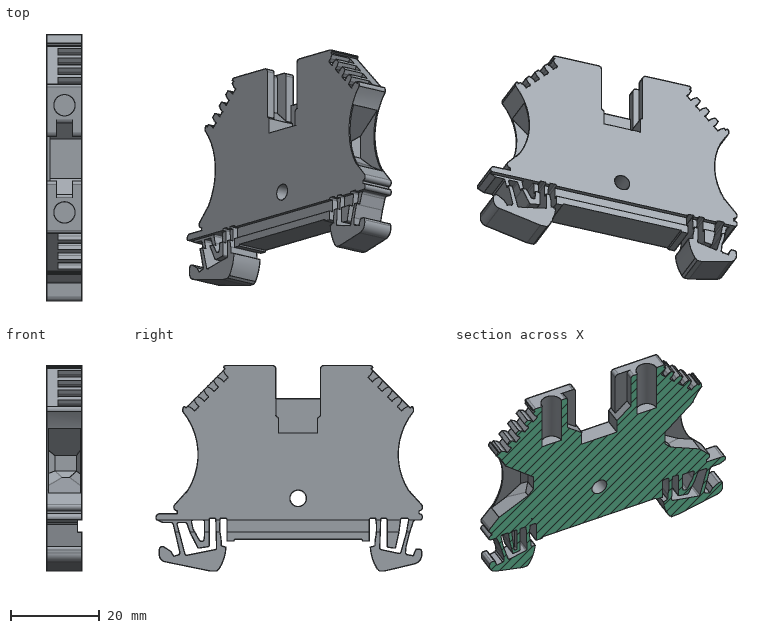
import cadquery as cq

thickness = 7.9
height = 46.25
fit = 0.5

slot_half = 5.0
slot_sill = 38.8
slot_edge_radius = 0.8
slope_top = (16.4, 45.5)
slope_bottom = (25.25, 36.65)
bay_top = (25.95, 35.85)
bay_middle = (22.53, 26.4)
bay_lower = (24.8, 18.2)
bay_bottom = (27.75, 14.95)
groove_y = 27.2
ledge_z = 12.9
foot_root_z = 11.85
base_half = 16.0
base_corner_radius = 0.35
base_z = 6.72
base_relief_z = 7.1
base_relief_half = 14.3
base_relief_run = 0.2

well_wall = 0.75
well_half = 4.4
well_floor = 31.0
well_ramp_z = 34.4

notch_x = (2.19, 5.84)
notch_end = 8.0
notch_edge_radius = 0.73
ramp_rise = 0.82

screw_diameter = 4.8
screw_x = 4.0
screw_y = 12.05
screw_depth = 12.0
cross_hole_diameter = 3.65
cross_hole_z = 16.35

grip_count = 4
grip_x = 2.53
grip_width = 2.0
grip_flare = 0.3
grip_flare_depth = 1.0
grip_depth = 1.85
grip_pitch = 3.1
grip_first = 0.6

funnel_x = (0.4, 7.55)
funnel_back_x = (1.88, 6.7)
funnel_back_y = 16.7
funnel_taper_y = 18.05
funnel_mouth_y = 29.0
funnel_roof_z = 25.95
funnel_roof_slope = 0.87
funnel_sill_z = 22.5
funnel_floor_z = 21.05
funnel_floor_slope = 0.48
funnel_corner_x = (3.46, 5.16)
funnel_corner_y = 21.8

side_recess_x = 6.97
side_recess_z = (8.76, 11.45)
channel_radius = 0.3
blind_pocket_depth = 5.0
pocket_radius = 0.2
bar_y = 28.0
lever_tip_y = 32.0
lever_z = 10.87
toe_y = 31.25


def prism(points, x_start, x_end, radius=0.0):
    """Extrude a (Y, Z) polygon from x_start to x_end, rounding its corners."""
    solid = cq.Workplane("YZ", origin=(x_start, 0, 0)).polyline(points).close().extrude(x_end - x_start)
    if radius:
        solid = solid.edges("|X").fillet(radius)
    return solid


def box(x_range, y_range, z_range):
    size = [high - low for low, high in (x_range, y_range, z_range)]
    corner = (x_range[0], y_range[0], z_range[0])
    return cq.Workplane("XY").box(*size, centered=False).translate(corner)


def both_ends(solid):
    return solid.union(solid.mirror("XZ"))


def make_housing():
    half = (
        cq.Workplane("YZ")
        .moveTo(0, slot_sill)
        .lineTo(slot_half, slot_sill)
        .lineTo(slot_half, height - slot_edge_radius)
        .radiusArc((slot_half + slot_edge_radius, height), slot_edge_radius)
        .lineTo(16.15, height)
        .threePointArc((16.45, 46.185), (16.7, 46.0))
        .lineTo(16.8, 45.75)
        .lineTo(*slope_top)
        .lineTo(*slope_bottom)
        .lineTo(25.45, 37.0)
        .lineTo(25.65, 37.0)
        .threePointArc((25.95, 36.5), bay_top)
        .threePointArc(bay_middle, bay_lower)
        .lineTo(*bay_bottom)
        .threePointArc((27.97, 14.25), (27.5, 13.6))
        .lineTo(groove_y, 13.5)
        .lineTo(groove_y, foot_root_z)
        .lineTo(base_half + base_corner_radius, foot_root_z)
        .radiusArc((base_half, foot_root_z - base_corner_radius), -base_corner_radius)
        .lineTo(base_half, base_z)
        .lineTo(base_relief_half + base_relief_run, base_z)
        .lineTo(base_relief_half, base_relief_z)
        .lineTo(0, base_relief_z)
        .close()
        .extrude(thickness)
    )
    return both_ends(half)


def make_front_foot():
    """The foot and release lever at the -Y end."""
    foot = (
        cq.Workplane("YZ")
        .moveTo(-17.5, ledge_z)
        .lineTo(-31.1, ledge_z)
        .threePointArc((-lever_tip_y, 12.0), (-31.88, 11.55))
        .lineTo(-30.4, lever_z)
        .lineTo(-28.4, lever_z)
        .lineTo(-28.1, 10.5)
        .lineTo(-26.6, 4.1)
        .lineTo(-26.8, 3.7)
        .lineTo(-27.95, 3.35)
        .lineTo(-28.7, 4.5)
        .lineTo(-30.2, 5.45)
        .threePointArc((-31.0, 5.35), (-toe_y, 4.7))
        .lineTo(-toe_y, 4.0)
        .threePointArc((-30.95, 2.75), (-29.9, 2.05))
        .lineTo(-19.9, 0)
        .lineTo(-18.3, 0)
        .lineTo(-17.75, 0.5)
        .threePointArc((-16.65, 2.9), (-16.2, 5.35))
        .lineTo(-17.25, 5.7)
        .lineTo(-17.3, 7.1)
        .threePointArc((-17.62, 9.6), (-17.5, foot_root_z))
        .close()
        .extrude(thickness)
    )
    channel = [
        (-18.55, foot_root_z), (-18.37, 4.9), (-25.35, 3.5), (-27.3, lever_z),
        (-25.1, lever_z), (-24.25, 8.5), (-22.5, 5.1), (-19.98, 5.5), (-19.98, foot_root_z),
    ]
    window = [(-21.07, 11.45), (-24.05, 11.45), (-23.6, 9.4), (-22.1, 6.75), (-21.25, 6.75), (-21.07, 8.0)]
    foot = foot.cut(prism(channel, -fit, thickness + fit, channel_radius))
    return foot.cut(prism(window, -fit, thickness + fit, channel_radius))


def make_rear_foot():
    """The foot at the +Y end."""
    foot = (
        cq.Workplane("YZ")
        .moveTo(17.4, ledge_z)
        .lineTo(groove_y, ledge_z)
        .lineTo(27.5, 12.85)
        .threePointArc((bar_y, 12.15), (27.5, 11.45))
        .lineTo(26.4, 11.45)
        .threePointArc((26.05, 11.3), (25.85, 10.95))
        .lineTo(25.05, 8.5)
        .lineTo(24.3, 5.5)
        .lineTo(24.15, 4.0)
        .lineTo(24.5, 3.7)
        .lineTo(25.9, 3.45)
        .lineTo(26.3, 4.55)
        .lineTo(26.55, 4.92)
        .lineTo(27.3, 4.92)
        .threePointArc((27.65, 4.75), (27.8, 4.3))
        .threePointArc((27.45, 2.5), (26.2, 1.6))
        .lineTo(19.5, 0)
        .lineTo(18.3, 0)
        .lineTo(17.75, 0.5)
        .threePointArc((16.65, 2.9), (16.2, 5.35))
        .lineTo(17.25, 5.7)
        .lineTo(17.3, 7.0)
        .threePointArc((17.62, 9.6), (17.4, foot_root_z))
        .close()
        .extrude(thickness)
    )
    channel = [
        (24.9, foot_root_z), (24.3, 8.5), (23.0, 3.9), (18.37, 4.9),
        (18.6, foot_root_z), (20.0, foot_root_z), (20.0, 5.35), (21.9, 5.1), (22.7, 8.8), (23.1, foot_root_z),
    ]
    pocket = [(22.15, foot_root_z), (20.9, foot_root_z), (20.9, 6.15), (21.5, 6.15)]
    foot = foot.cut(prism(channel, -fit, thickness + fit, channel_radius))
    return foot.cut(prism(pocket, -fit, blind_pocket_depth, pocket_radius))


def make_jumper_well():
    """The open well behind the side wall, with a ramp rising towards each notch."""
    ramp_top_z = well_ramp_z + ramp_rise * (notch_end - well_half)
    lip_z = well_ramp_z + ramp_rise * (slot_half - well_half)
    well = prism(
        [
            (-slot_half, height), (-slot_half, lip_z), (-well_half, well_ramp_z), (-well_half, well_floor),
            (well_half, well_floor), (well_half, well_ramp_z), (slot_half, lip_z), (slot_half, height),
        ],
        well_wall,
        thickness + fit,
    )
    notch = (
        cq.Workplane("YZ", origin=(notch_x[0], 0, 0))
        .moveTo(well_half, well_ramp_z)
        .lineTo(notch_end, ramp_top_z)
        .lineTo(notch_end, height - notch_edge_radius)
        .radiusArc((notch_end + notch_edge_radius, height), notch_edge_radius)
        .lineTo(well_half, height)
        .close()
        .extrude(notch_x[1] - notch_x[0])
    )
    return well.union(both_ends(notch))


def make_screw_hole():
    return (
        cq.Workplane("XY", origin=(screw_x, screw_y, height - screw_depth))
        .circle(screw_diameter / 2)
        .extrude(screw_depth + fit)
    )


def make_grip_grooves():
    """Flared grooves across the 45 degree shoulder, open on the +X side."""
    half_mouth = grip_width / 2
    half_floor = half_mouth - grip_flare
    section = [
        (-half_mouth, fit), (-half_mouth, 0), (-half_floor, -grip_flare_depth), (-half_floor, -grip_depth),
        (half_floor, -grip_depth), (half_floor, -grip_flare_depth), (half_mouth, 0), (half_mouth, fit),
    ]
    groove = prism(section, grip_x, thickness + fit)
    grooves = cq.Workplane("XY")
    for index in range(grip_count):
        middle = grip_first + half_mouth + index * grip_pitch
        grooves = grooves.add(groove.translate((0, middle, 0)))
    shoulder_angle = -45
    grooves = grooves.combine().rotate((0, 0, 0), (1, 0, 0), shoulder_angle)
    return grooves.translate((0, *slope_top))


def corner_slope(side_x, back_x, corner_x):
    """Material left in a lower corner of the funnel: a box whose top lies on the sloped face."""
    floor_z = funnel_floor_z - funnel_floor_slope * (funnel_corner_y - funnel_taper_y)
    side_point = cq.Vector(side_x, funnel_corner_y, floor_z)
    floor_point = cq.Vector(corner_x, funnel_taper_y, funnel_floor_z)
    back_point = cq.Vector(back_x, funnel_back_y, funnel_sill_z)
    along = floor_point - side_point
    normal = along.cross(back_point - side_point)
    if normal.z > 0:
        normal = -normal
    reach = 40.0
    return cq.Workplane(cq.Plane(side_point, along, normal)).rect(reach, reach).extrude(reach)


def make_funnel():
    floor_mouth_z = funnel_floor_z - funnel_floor_slope * (funnel_mouth_y - funnel_taper_y)
    roof_mouth_z = funnel_roof_z + funnel_roof_slope * (funnel_mouth_y - funnel_back_y)
    side_shape = prism(
        [
            (funnel_mouth_y, roof_mouth_z), (funnel_back_y, funnel_roof_z), (funnel_back_y, funnel_sill_z),
            (funnel_taper_y, funnel_floor_z), (funnel_mouth_y, floor_mouth_z),
        ],
        0,
        thickness,
    )
    plan_shape = (
        cq.Workplane("XY")
        .polyline([
            (funnel_x[0], funnel_mouth_y), (funnel_x[0], funnel_taper_y), (funnel_back_x[0], funnel_back_y),
            (funnel_back_x[1], funnel_back_y), (funnel_x[1], funnel_taper_y), (funnel_x[1], funnel_mouth_y),
        ])
        .close()
        .extrude(height)
    )
    funnel = side_shape.intersect(plan_shape)
    for side_x, back_x, corner_x in zip(funnel_x, funnel_back_x, funnel_corner_x):
        funnel = funnel.cut(corner_slope(side_x, back_x, corner_x))
    return funnel


cross_hole = (
    cq.Workplane("YZ", origin=(-fit, 0, cross_hole_z))
    .circle(cross_hole_diameter / 2)
    .extrude(thickness + 2 * fit)
)
side_recess = box((side_recess_x, thickness + fit), (-height, height), side_recess_z)

result = make_housing().union(make_front_foot()).union(make_rear_foot())
result = result.cut(make_jumper_well())
result = result.cut(cross_hole)
result = result.cut(side_recess)
for end_feature in (make_screw_hole(), make_grip_grooves(), make_funnel()):
    result = result.cut(end_feature).cut(end_feature.mirror("XZ"))